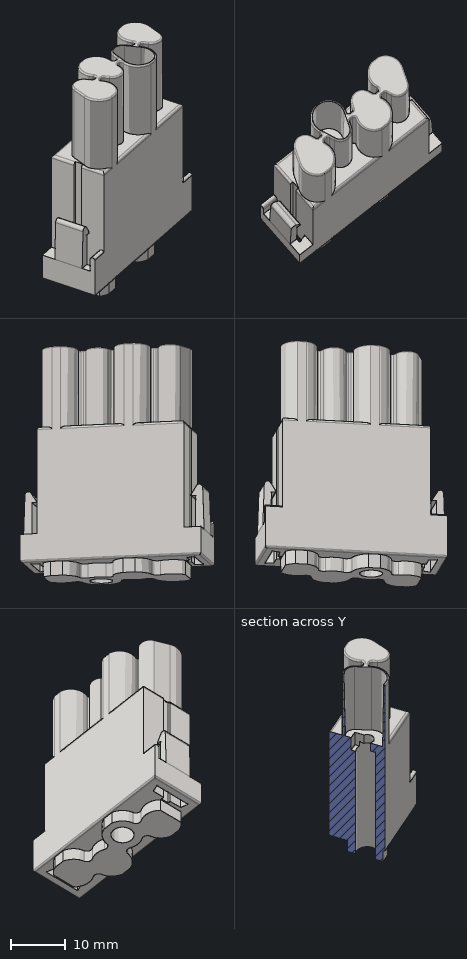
import cadquery as cq
import math

WIDTH = 11.4
LENGTH = 34.0
HEIGHT = 42.9

FLANGE_BOTTOM = 2.65
FLANGE_TOP = 7.9
FLANGE_EDGE_ROUND = 0.35
BLOCK_LENGTH = 27.65
BLOCK_TOP = 27.88
BLOCK_EDGE_ROUND = 0.52

TOWER_COUNT = 4
TOWER_PITCH = 6.8
TOWER_BIG_RADIUS = 3.4
TOWER_SMALL_RADIUS = 2.2
TOWER_BIG_X = 2.4
TOWER_SMALL_X = 0.92
RIM_ROUND = 0.3
WEB_WIDTH = 1.0
WEB_CORNER_ROUND = 0.4

CONTACT_X = 1.7

OPEN_TOWER = 1
WALL_AT_FLOOR = 0.6
WALL_AT_RIM = 0.4
CAVITY_FLOOR = BLOCK_TOP
FLOOR_THICKNESS = 2.0
CONTACT_BORE = 4.2
KEYHOLE_DIAMETER = 2.5
KEYHOLE_SLOT_WIDTH = 1.6
KEYHOLE_SLOT_REACH = 2.83
KEYHOLE_SLOT_STEP = 1.0

COLLAR_RADIUS = 3.74
COLLAR_BLEND_RADIUS = 1.0
COLLAR_TRIM_WIDTH = 10.54
COLLAR_TRIM_LENGTH = 26.0

GROOVE_WIDTH = 1.6
GROOVE_DEPTH = 0.58
WINDOW_INNER_WIDTH = 6.6
WINDOW_OUTER_WIDTH = 7.6
LATCH_WIDTH = 5.9
LATCH_INNER_Y = 15.4
LATCH_LEAN = 0.27
LATCH_TOP = 16.4
LATCH_TIP_Y = 14.55
LATCH_TIP_HEIGHT = 14.5
LATCH_HOOK_BOTTOM = 14.3
LATCH_ROUND = 0.65
RIDGE_WIDTH = 1.05
RIDGE_TOP = 10.95
RIDGE_ROUND = 0.55


def tower_y(index):
    return ((TOWER_COUNT - 1) / 2 - index) * TOWER_PITCH


def tower_side(index):
    """-1 where the wide end of the tower is at -X, +1 where it is at +X."""
    return -1 if index % 2 == 0 else 1


def centred_box(width, length, bottom, top):
    return cq.Workplane("XY").workplane(offset=bottom).rect(width, length).extrude(top - bottom)


def cylinder(x, y, radius, bottom, top):
    return cq.Workplane("XY").workplane(offset=bottom).center(x, y).circle(radius).extrude(top - bottom)


def teardrop(index, inset, bottom, top, draft=0):
    """Prism around two circles joined by their outer tangents; a negative draft widens it upward."""
    side = tower_side(index)
    big = TOWER_BIG_RADIUS - inset
    small = TOWER_SMALL_RADIUS - inset
    spacing = TOWER_BIG_X + TOWER_SMALL_X
    tilt = math.asin((big - small) / spacing)
    big_x = side * TOWER_BIG_X
    small_x = -side * TOWER_SMALL_X
    big_tangent_x = big_x - side * big * math.sin(tilt)
    small_tangent_x = small_x - side * small * math.sin(tilt)
    big_tangent_y = big * math.cos(tilt)
    small_tangent_y = small * math.cos(tilt)
    outline = (
        cq.Workplane("XY")
        .workplane(offset=bottom)
        .center(0, tower_y(index))
        .moveTo(big_tangent_x, big_tangent_y)
        .threePointArc((big_x + side * big, 0), (big_tangent_x, -big_tangent_y))
        .lineTo(small_tangent_x, -small_tangent_y)
        .threePointArc((small_x - side * small, 0), (small_tangent_x, small_tangent_y))
        .close()
    )
    return outline.extrude(top - bottom, taper=draft)


def make_body():
    flange = centred_box(WIDTH, LENGTH, FLANGE_BOTTOM, FLANGE_TOP)
    flange = flange.faces("<Z").edges().fillet(FLANGE_EDGE_ROUND)
    block = centred_box(WIDTH, BLOCK_LENGTH, FLANGE_TOP, BLOCK_TOP)
    block = block.faces(">Z").edges().fillet(BLOCK_EDGE_ROUND)
    return flange.union(block)


def make_towers():
    bottom = BLOCK_TOP - BLOCK_EDGE_ROUND
    towers = teardrop(0, 0, bottom, HEIGHT)
    for index in range(1, TOWER_COUNT):
        towers = towers.union(teardrop(index, 0, bottom, HEIGHT))
    web_span = tower_y(0) - tower_y(TOWER_COUNT - 1)
    towers = towers.union(centred_box(WEB_WIDTH, web_span, bottom, HEIGHT))
    margin = 0.1
    web_edges = cq.selectors.BoxSelector(
        (-WEB_WIDTH / 2 - margin, -web_span / 2, bottom),
        (WEB_WIDTH / 2 + margin, web_span / 2, HEIGHT),
    )
    towers = towers.edges("|Z").edges(web_edges).fillet(WEB_CORNER_ROUND)
    towers = towers.intersect(centred_box(WIDTH, LENGTH, bottom, HEIGHT))
    return towers.faces(">Z").edges().fillet(RIM_ROUND)


def make_collars():
    """Bottom pads, with concave blends joining each pad to the next."""
    centres = [(tower_side(i) * CONTACT_X, tower_y(i)) for i in range(TOWER_COUNT)]
    top = FLANGE_BOTTOM + FLANGE_EDGE_ROUND
    collars = cylinder(*centres[0], COLLAR_RADIUS, 0, top)
    for (x1, y1), (x2, y2) in zip(centres, centres[1:]):
        half_gap = math.hypot(x2 - x1, y2 - y1) / 2
        offset = math.sqrt((COLLAR_RADIUS + COLLAR_BLEND_RADIUS) ** 2 - half_gap**2)
        across_x = -(y2 - y1) / (2 * half_gap) * offset
        across_y = (x2 - x1) / (2 * half_gap) * offset
        blend_a = ((x1 + x2) / 2 + across_x, (y1 + y2) / 2 + across_y)
        blend_b = ((x1 + x2) / 2 - across_x, (y1 + y2) / 2 - across_y)
        bridge = cq.Workplane("XY").polyline([(x1, y1), blend_a, (x2, y2), blend_b]).close().extrude(top)
        for blend in (blend_a, blend_b):
            bridge = bridge.cut(cylinder(*blend, COLLAR_BLEND_RADIUS, 0, top))
        collars = collars.union(bridge).union(cylinder(x2, y2, COLLAR_RADIUS, 0, top))
    return collars.intersect(centred_box(COLLAR_TRIM_WIDTH, COLLAR_TRIM_LENGTH, 0, top))


def make_latch():
    """Hooked snap arm at the +Y end, with a round crest that runs into the hook's slope."""
    outer_y = LENGTH / 2
    root = FLANGE_TOP - FLANGE_EDGE_ROUND
    crest_y = outer_y - LATCH_LEAN - LATCH_ROUND
    crest_z = LATCH_TOP - LATCH_ROUND
    to_tip_y = LATCH_TIP_Y - crest_y
    to_tip_z = LATCH_TIP_HEIGHT - crest_z
    tip_angle = math.atan2(to_tip_z, to_tip_y) % (2 * math.pi)
    touch_angle = tip_angle - math.acos(LATCH_ROUND / math.hypot(to_tip_y, to_tip_z))
    touch_y = crest_y + LATCH_ROUND * math.cos(touch_angle)
    touch_z = crest_z + LATCH_ROUND * math.sin(touch_angle)
    profile = (
        cq.Workplane("YZ")
        .moveTo(outer_y, root)
        .lineTo(outer_y, FLANGE_TOP)
        .lineTo(crest_y + LATCH_ROUND, crest_z)
        .threePointArc((crest_y, LATCH_TOP), (touch_y, touch_z))
        .lineTo(LATCH_TIP_Y, LATCH_TIP_HEIGHT)
        .lineTo(LATCH_TIP_Y, LATCH_HOOK_BOTTOM)
        .lineTo(LATCH_INNER_Y, LATCH_HOOK_BOTTOM)
        .lineTo(LATCH_INNER_Y, root)
        .close()
    )
    return profile.extrude(LATCH_WIDTH / 2, both=True)


def make_ridge():
    """Round-topped wall beside the latch at the +Y end, along the +X side."""
    inner_x = WIDTH / 2 - RIDGE_WIDTH
    crest_x = inner_x + RIDGE_ROUND
    crest_z = RIDGE_TOP - RIDGE_ROUND
    side_z = crest_z + math.sqrt(RIDGE_ROUND**2 - (WIDTH / 2 - crest_x) ** 2)
    root = FLANGE_TOP - FLANGE_EDGE_ROUND
    profile = (
        cq.Workplane("XZ", origin=(0, LENGTH / 2, 0))
        .moveTo(inner_x, root)
        .lineTo(inner_x, crest_z)
        .threePointArc((crest_x, RIDGE_TOP), (WIDTH / 2, side_z))
        .lineTo(WIDTH / 2, root)
        .close()
    )
    return profile.extrude((LENGTH - BLOCK_LENGTH) / 2)


def make_end_opening():
    """Window behind the latch and the groove up the +Y end of the block."""
    block_end = BLOCK_LENGTH / 2
    window = (
        cq.Workplane("XY")
        .polyline([
            (-WINDOW_INNER_WIDTH / 2, block_end),
            (WINDOW_INNER_WIDTH / 2, block_end),
            (WINDOW_OUTER_WIDTH / 2, LATCH_INNER_Y),
            (-WINDOW_OUTER_WIDTH / 2, LATCH_INNER_Y),
        ])
        .close()
        .extrude(FLANGE_TOP)
    )
    groove = centred_box(GROOVE_WIDTH, 2 * GROOVE_DEPTH, 0, BLOCK_TOP).translate((0, block_end, 0))
    return window.union(groove)


def make_open_tower_cut():
    """Cavity of the open tower, with a keyed opening and a bore below it."""
    y = tower_y(OPEN_TOWER)
    draft = math.degrees(math.atan((WALL_AT_FLOOR - WALL_AT_RIM) / (HEIGHT - CAVITY_FLOOR)))
    cavity = teardrop(OPEN_TOWER, WALL_AT_FLOOR, CAVITY_FLOOR, HEIGHT, -draft)
    bore_top = CAVITY_FLOOR - FLOOR_THICKNESS
    bore = cylinder(CONTACT_X, y, CONTACT_BORE / 2, 0, bore_top)
    keyhole = cylinder(CONTACT_X, y, KEYHOLE_DIAMETER / 2, bore_top, CAVITY_FLOOR)
    slot_bottom = bore_top - KEYHOLE_SLOT_STEP
    slot = centred_box(KEYHOLE_SLOT_REACH, KEYHOLE_SLOT_WIDTH, slot_bottom, CAVITY_FLOOR)
    slot = slot.translate((CONTACT_X - KEYHOLE_SLOT_REACH / 2, y, 0))
    return cavity.union(bore).union(keyhole).union(slot)


def both_ends(shape):
    return shape.union(shape.mirror("XZ"))


result = make_body().union(make_collars()).union(make_towers())
result = result.cut(both_ends(make_end_opening()))
result = result.union(both_ends(make_latch())).union(both_ends(make_ridge()))
result = result.cut(make_open_tower_cut())